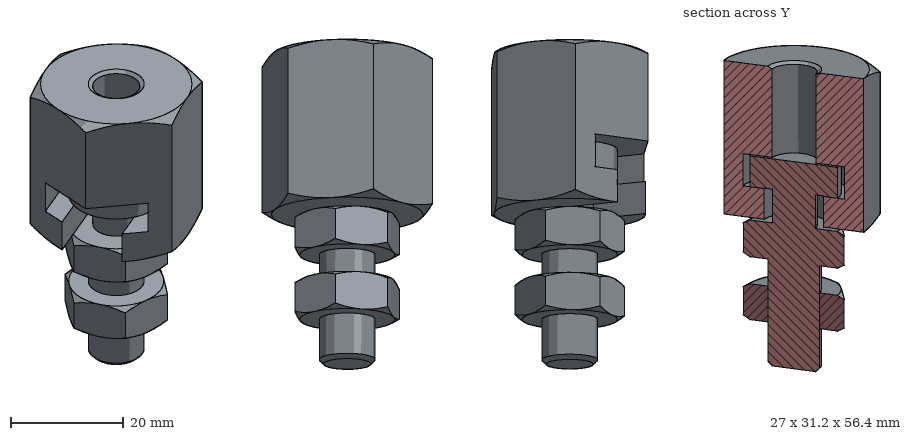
import cadquery as cq
import math


THREAD_DIAMETER = 10.0
CORE_DIAMETER = 8.4
THREAD_STEP = (THREAD_DIAMETER - CORE_DIAMETER) / 2
COUNTERSINK_ANGLE = 30

HOUSING_FLATS = 27.0
HOUSING_TOP = 56.4
HOUSING_HEIGHT = 29.0
HOUSING_BOTTOM = HOUSING_TOP - HOUSING_HEIGHT

SLOT_FLOOR = 33.3
WIDE_SLOT_HEIGHT = 6.0
SLOT_CEILING = SLOT_FLOOR + WIDE_SLOT_HEIGHT
WIDE_SLOT_WIDTH = 19.55
NARROW_SLOT_WIDTH = 11.45

HEAD_DIAMETER = 17.05
HEAD_CLEARANCE = 0.15
HEAD_HEIGHT = WIDE_SLOT_HEIGHT - HEAD_CLEARANCE
NECK_DIAMETER = CORE_DIAMETER
COLLAR_TOP = 27.0
COLLAR_HEIGHT = 7.0

WRENCH_FLATS = 17.0
NUT_TOP = 15.0
NUT_HEIGHT = 6.8

HEX_CHAMFER_ANGLE = 30


def cylinder(diameter, bottom, height):
    """Upright cylinder on the Z axis."""
    return cq.Workplane("XY").workplane(offset=bottom).circle(diameter / 2).extrude(height)


def chamfered_hexagon(flats, bottom, height, turn=0):
    """Hexagonal prism with corners on X, turned by an angle, its corners cut conically at both ends."""
    corner_diameter = flats / math.cos(math.radians(30))
    prism = (
        cq.Workplane("XY")
        .workplane(offset=bottom)
        .polygon(6, corner_diameter)
        .extrude(height)
        .rotate((0, 0, 0), (0, 0, 1), turn)
    )

    end_radius = flats / 2
    corner_radius = corner_diameter / 2
    chamfer_height = (corner_radius - end_radius) * math.tan(math.radians(HEX_CHAMFER_ANGLE))
    top = bottom + height
    envelope = (
        cq.Workplane("XZ")
        .moveTo(0, bottom)
        .lineTo(end_radius, bottom)
        .lineTo(corner_radius, bottom + chamfer_height)
        .lineTo(corner_radius, top - chamfer_height)
        .lineTo(end_radius, top)
        .lineTo(0, top)
        .close()
        .revolve(360, (0, 0, 0), (0, 1, 0))
    )
    return prism.intersect(envelope)


def round_ended_slot(width, bottom, height):
    """Slot cutter that ends in a half circle about the Z axis and runs out through the -Y side."""
    channel = (
        cq.Workplane("XY")
        .workplane(offset=bottom)
        .rect(width, 2 * HOUSING_FLATS)
        .extrude(height)
        .translate((0, -HOUSING_FLATS, 0))
    )
    return channel.union(cylinder(width, bottom, height))


def tapped_hole():
    """Cutter for the countersunk hole from the housing's top face down to the T-slot."""
    countersink_depth = THREAD_STEP * math.tan(math.radians(COUNTERSINK_ANGLE))
    return (
        cq.Workplane("XZ")
        .moveTo(0, SLOT_CEILING)
        .lineTo(CORE_DIAMETER / 2, SLOT_CEILING)
        .lineTo(CORE_DIAMETER / 2, HOUSING_TOP - countersink_depth)
        .lineTo(THREAD_DIAMETER / 2, HOUSING_TOP)
        .lineTo(0, HOUSING_TOP)
        .close()
        .revolve(360, (0, 0, 0), (0, 1, 0))
    )


def make_housing():
    """Hexagonal housing with corners on Y, a T-slot below and a tapped hole above."""
    body = chamfered_hexagon(HOUSING_FLATS, HOUSING_BOTTOM, HOUSING_HEIGHT, turn=30)
    narrow_slot = round_ended_slot(NARROW_SLOT_WIDTH, HOUSING_BOTTOM, SLOT_FLOOR - HOUSING_BOTTOM)
    wide_slot = round_ended_slot(WIDE_SLOT_WIDTH, SLOT_FLOOR, WIDE_SLOT_HEIGHT)
    return body.cut(narrow_slot).cut(wide_slot).cut(tapped_hole())


def make_stud():
    """Threaded shank, hexagonal collar, neck and round head in one piece."""
    shank = cylinder(THREAD_DIAMETER, 0, COLLAR_TOP - COLLAR_HEIGHT).faces("<Z").chamfer(THREAD_STEP)
    collar = chamfered_hexagon(WRENCH_FLATS, COLLAR_TOP - COLLAR_HEIGHT, COLLAR_HEIGHT)
    neck = cylinder(NECK_DIAMETER, COLLAR_TOP, SLOT_FLOOR - COLLAR_TOP)
    head = cylinder(HEAD_DIAMETER, SLOT_FLOOR, HEAD_HEIGHT)
    return shank.union(collar).union(neck).union(head)


def make_nut():
    """Lock nut whose bore fits the stud's shank."""
    nut_bottom = NUT_TOP - NUT_HEIGHT
    blank = chamfered_hexagon(WRENCH_FLATS, nut_bottom, NUT_HEIGHT)
    return blank.cut(cylinder(THREAD_DIAMETER, nut_bottom, NUT_HEIGHT))


housing = make_housing()
stud = make_stud()
nut = make_nut()

result = cq.Compound.makeCompound([housing.solids().val(), stud.solids().val(), nut.solids().val()])